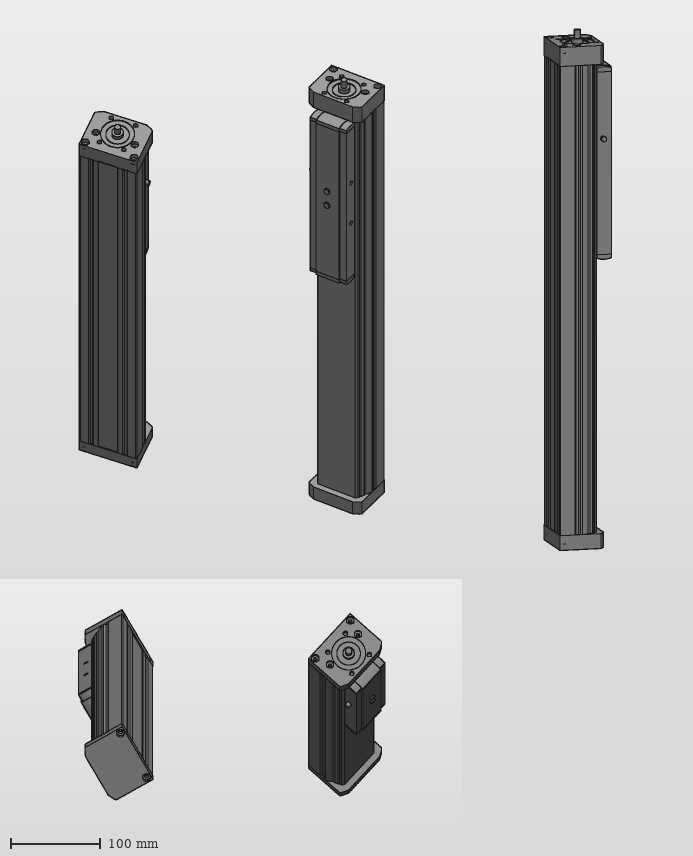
import cadquery as cq


total_length = 582.0
width = 69.0
half_width = width / 2
back_y = -29.0

bottom_block_height = 17.0
rail_top_z = 547.5
top_block_top_z = 569.0
collar_top_z = 572.0

rail_front_y = 16.0
rail_back_chamfer_x = 2.0
rail_back_chamfer_y = 0.5
slope_start_y = -3.5
slope_end_x = 27.0
slope_end_y = 13.5
rail_front_half_width = 24.5
slot_mouth = 6.5
slot_floor = 3.0
slot_depth = 2.0
back_slot_x = 20.5
side_slot_y = -9.0
panel_half_width = 11.5
panel_depth = 1.0
lower_groove_start_y = 2.0
lower_groove_width = 4.5
upper_groove_start_y = 10.0
upper_groove_width = 2.0
seal_groove_depth = 0.9

block_front_y = 23.0
block_front_half_width = 25.5
block_side_y = 18.0
shoulder_x = 32.5
shoulder_y = 20.0

outer_recess_diameter = 38.0
inner_recess_diameter = 26.0
recess_step = 1.0
motor_hole_diameter = 5.0
motor_hole_x = 14.5
motor_hole_y = 18.0
motor_hole_depth = 9.0
mid_screw_x = 23.0
mid_screw_y = -7.0
mid_screw_diameter = 3.25
mid_counterbore_diameter = 8.0
mid_counterbore_depth = 4.5
corner_screw_x = 29.0
corner_screw_y = -24.0
corner_screw_diameter = 4.15
corner_counterbore_diameter = 9.0
corner_counterbore_depth = 7.0

shaft_diameter = 7.0
collar_diameter = 13.0

carriage_half_width = 24.0
carriage_back_y = 16.5
carriage_front_y = 33.0
carriage_bottom_z = 330.5
carriage_top_z = 537.0
carriage_middle_z = (carriage_bottom_z + carriage_top_z) / 2
plate_half_width = 15.0
plate_front_y = 35.0
cover_inset = 0.1
cover_edge_height = 4.0
plate_cover_edge_height = 4.5
cover_bulge = 1.65
port_y = 23.0
port_diameter = 4.9
port_depth = 3.0
port_offset_z = 28.0
nipple_diameter = 6.0
nipple_length = 4.95
dowel_diameter = 7.0
dowel_height = 1.9
dowel_middle_z = 439.0
dowel_spacing = 19.0
plug_diameter = 5.0
plug_y = 26.0
plug_tip_z = 323.0


def mirrored_section(right_half):
    """Close an outline from its +X half, listed from the back to the front."""
    left_half = [(-x, y) for x, y in reversed(right_half)]
    return cq.Workplane("XY").polyline(right_half + left_half).close()


def slot_outline():
    """Points of a slot with bevelled walls, from one lip to the other, as (along, depth)."""
    return [
        (-slot_mouth / 2, 0),
        (-slot_floor / 2, slot_depth),
        (slot_floor / 2, slot_depth),
        (slot_mouth / 2, 0),
    ]


def slope_x(y):
    """Half width of the rail's sloping side at a given Y."""
    slope = (half_width - slope_end_x) / (slope_end_y - slope_start_y)
    return half_width - slope * (y - slope_start_y)


def seal_groove(start_y, groove_width):
    """Points of a shallow V groove along the rail's sloping side."""
    root_y = start_y + groove_width / 2
    end_y = start_y + groove_width
    return [
        (slope_x(start_y), start_y),
        (slope_x(root_y) - seal_groove_depth, root_y),
        (slope_x(end_y), end_y),
    ]


def make_rail():
    """Slotted extrusion between the two end blocks."""
    back_slot = [(back_slot_x + along, back_y + depth) for along, depth in slot_outline()]
    side_slot = [(half_width - depth, side_slot_y + along) for along, depth in slot_outline()]
    right_half = [
        (panel_half_width, back_y + panel_depth),
        (panel_half_width, back_y),
        *back_slot,
        (half_width - rail_back_chamfer_x, back_y),
        (half_width, back_y + rail_back_chamfer_y),
        *side_slot,
        (half_width, slope_start_y),
        *seal_groove(lower_groove_start_y, lower_groove_width),
        *seal_groove(upper_groove_start_y, upper_groove_width),
        (slope_end_x, slope_end_y),
        (rail_front_half_width, rail_front_y),
    ]
    rail = mirrored_section(right_half).extrude(rail_top_z - bottom_block_height)
    return rail.translate((0, 0, bottom_block_height))


def block_blank(bottom_z, top_z):
    """End block with sloping front shoulders, still without holes."""
    right_half = [
        (half_width, back_y),
        (half_width, block_side_y),
        (shoulder_x, shoulder_y),
        (block_front_half_width, block_front_y),
    ]
    return mirrored_section(right_half).extrude(top_z - bottom_z).translate((0, 0, bottom_z))


def corner_points(outer_face):
    """Corner hole places in the face's own axes, whose Y is reversed on the underside."""
    local_y = corner_screw_y if outer_face == ">Z" else -corner_screw_y
    return [(-corner_screw_x, local_y), (corner_screw_x, local_y)]


def corner_screw_holes(block, outer_face):
    """Counterbored holes through the two back corners, sunk from the outer end face."""
    return (
        block.faces(outer_face)
        .workplane(origin=(0, 0, 0))
        .pushPoints(corner_points(outer_face))
        .cboreHole(corner_screw_diameter, corner_counterbore_diameter, corner_counterbore_depth)
    )


def make_bottom_block():
    """Plain end block with only the corner screw holes."""
    return corner_screw_holes(block_blank(0, bottom_block_height), "<Z")


def make_top_block():
    """Drive end block with the motor mounting pattern and a two-step recess round the shaft."""
    block = corner_screw_holes(block_blank(rail_top_z, top_block_top_z), ">Z")
    top = cq.Workplane("XY", origin=(0, 0, top_block_top_z))

    mid_points = [(-mid_screw_x, mid_screw_y), (mid_screw_x, mid_screw_y)]
    block = (
        block.faces(">Z").workplane(origin=(0, 0, 0)).pushPoints(mid_points)
        .cboreHole(mid_screw_diameter, mid_counterbore_diameter, mid_counterbore_depth)
    )

    motor_holes = (
        top.rect(2 * motor_hole_x, 2 * motor_hole_y, forConstruction=True).vertices()
        .circle(motor_hole_diameter / 2).extrude(-motor_hole_depth)
    )
    outer_recess = top.circle(outer_recess_diameter / 2).extrude(-recess_step)
    inner_recess = top.circle(inner_recess_diameter / 2).extrude(-2 * recess_step)
    return block.cut(motor_holes).cut(outer_recess).cut(inner_recess)


def make_shaft():
    """Drive shaft whose collar stands on the floor of the stepped recess."""
    collar_bottom_z = top_block_top_z - 2 * recess_step
    return (
        cq.Workplane("XY", origin=(0, 0, collar_bottom_z))
        .circle(collar_diameter / 2).extrude(collar_top_z - collar_bottom_z)
        .faces(">Z").workplane()
        .circle(shaft_diameter / 2).extrude(total_length - collar_top_z)
    )


def carriage_slab(slab_half_width, front_y):
    """Plain block of the carriage's main length, from the rail side to the given front."""
    depth = front_y - carriage_back_y
    return (
        cq.Workplane("XY", origin=(0, carriage_back_y + depth / 2, carriage_bottom_z))
        .rect(2 * slab_half_width, depth)
        .extrude(carriage_top_z - carriage_bottom_z)
    )


def end_cover(cover_half_width, front_y, edge_height):
    """Slab running past both ends of the carriage, with bulging end faces."""
    low_edge_z = carriage_bottom_z - edge_height
    high_edge_z = carriage_top_z + edge_height
    middle_y = (carriage_back_y + front_y) / 2
    return (
        cq.Workplane("YZ")
        .moveTo(carriage_back_y, low_edge_z)
        .threePointArc((middle_y, low_edge_z - cover_bulge), (front_y, low_edge_z))
        .lineTo(front_y, high_edge_z)
        .threePointArc((middle_y, high_edge_z + cover_bulge), (carriage_back_y, high_edge_z))
        .close()
        .extrude(cover_half_width, both=True)
    )


def make_carriage():
    """Carriage with its raised front plate, end covers, ports, dowels, grease nipple and plug."""
    body = carriage_slab(carriage_half_width, carriage_front_y)
    plate = carriage_slab(plate_half_width, plate_front_y)
    body_cover = end_cover(
        carriage_half_width - cover_inset, carriage_front_y - cover_inset, cover_edge_height
    )
    plate_cover = end_cover(
        plate_half_width - cover_inset, plate_front_y - cover_inset, plate_cover_edge_height
    )
    carriage = body.union(plate).union(body_cover).union(plate_cover)

    for side in (-1, 1):
        port_z = carriage_middle_z + side * port_offset_z
        port = (
            cq.Workplane("YZ", origin=(-carriage_half_width, port_y, port_z))
            .circle(port_diameter / 2).extrude(port_depth)
        )
        dowel_z = dowel_middle_z + side * dowel_spacing / 2
        dowel = (
            cq.Workplane("XZ", origin=(0, plate_front_y, dowel_z))
            .circle(dowel_diameter / 2).extrude(-dowel_height)
        )
        carriage = carriage.cut(port).union(dowel)

    nipple = (
        cq.Workplane("YZ", origin=(carriage_half_width, port_y, carriage_middle_z + port_offset_z))
        .circle(nipple_diameter / 2).extrude(nipple_length)
    )
    plug = (
        cq.Workplane("XY", origin=(0, plug_y, plug_tip_z))
        .circle(plug_diameter / 2).extrude(carriage_bottom_z - plug_tip_z)
    )
    return carriage.union(nipple).union(plug)


rail = make_rail()
bottom_block = make_bottom_block()
top_block = make_top_block()
shaft = make_shaft()
carriage = make_carriage()

result = cq.Compound.makeCompound([
    rail.val(),
    bottom_block.val(),
    top_block.val(),
    shaft.val(),
    carriage.val(),
])